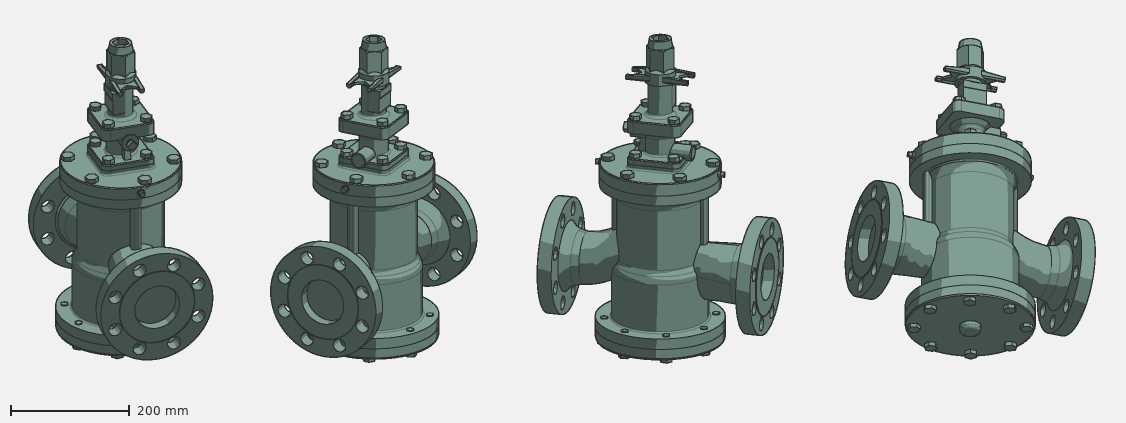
import cadquery as cq
import math

COVER_FOOT_Z = 14.5
BOTTOM_JOINT_Z = 34.0
BOTTOM_FLANGE_TOP_Z = 52.5
PORT_Z = 143.5
SHOULDER_LOW_Z = 139.5
SHOULDER_MID_Z = 153.0
SHOULDER_TOP_Z = 163.0
FLARE_Z = 270.0
TOP_FLANGE_FOOT_Z = 290.5
TOP_JOINT_Z = 308.0
COVER_TOP_Z = 330.0
PILOT_JOINT_Z = 338.5
PILOT_BASE_TOP_Z = 349.0
PILOT_NECK_TOP_Z = 380.0
PILOT_CONE_Z = 386.5
PILOT_FLANGE_FOOT_Z = 394.5
PILOT_FLANGE_TOP_Z = 417.0
FLAT_FOOT_Z = 430.0
FLAT_TOP_Z = 456.5
LIP_TOP_Z = 470.0
COLLAR_FOOT_Z = 477.0
COLLAR_TOP_Z = 497.5
HEX_TOP_Z = 540.0
TOP_Z = 554.0

BOTTOM_FLANGE_D = 220.0
TOP_FLANGE_D = 206.0
LOWER_BARREL_D = 165.0
UPPER_BARREL_D = 147.5
FLARE_D = 157.5
BARREL_FOOT_FILLET = 3.0
BARREL_HEAD_FILLET = 3.0
COVER_FOOT_CHAMFER_H = 3.0
COVER_FOOT_CHAMFER_W = 1.0
RIB_REACH = 83.5
RIB_WIDTH = 18.0
RIB_FILLET = 5.0

PORT_FACE_X = 189.0
RAISED_FACE_D = 134.0
RAISED_FACE_H = 1.5
PORT_FLANGE_D = 200.0
PORT_FLANGE_BACK_X = 162.5
PORT_HOLE_D = 23.0
PORT_HOLE_CIRCLE_D = 160.0
PORT_HOLE_COUNT = 8
BORE_D = 80.0
BORE_DEPTH = 19.5
HUB_D = 122.0
INLET_HUB_D = 114.0
INLET_HUB_X = 160.0
INLET_PIPE_D = 102.5
INLET_PIPE_X = 138.0
INLET_ROOT_X = 66.5
INLET_ROOT_WIDTH = 64.0
INLET_ROOT_HEIGHT = 101.0
OUTLET_PIPE_WIDTH = 85.5
OUTLET_PIPE_HEIGHT = 91.0
OUTLET_AXIS = [(131.0, PORT_Z), (106.0, 147.5), (84.0, 155.5), (44.5, 173.0)]
OUTLET_FLARE_X = 144.0
OUTLET_FLARE_D = 95.5
OUTLET_CURVE_X = 155.0
OUTLET_CURVE_D = 106.5

BOTTOM_BOLT_CIRCLE_D = 190.0
BOTTOM_BOLT_COUNT = 8
BOTTOM_BOLT_TURN = 22.5
BOTTOM_BOLT_D = 22.0
BOTTOM_BOLT_H = 7.0
STUD_D = 12.0
STUD_H = 1.5
COVER_BOLT_CIRCLE_D = 179.5
COVER_BOLT_COUNT = 6
COVER_BOLT_TURN = 8
COVER_BOLT_D = 22.5
COVER_BOLT_H = 8.0
PILOT_BOLT_CIRCLE_D = 95.5
PILOT_BOLT_COUNT = 4
PILOT_BOLT_TURN = 45
PILOT_HEAD_TURN = 45
PILOT_BOLT_D = 20.5
PILOT_BOLT_H = 8.0

PLUG_D = 36.0
PLUG_FILLET = 8.0
SIDE_SCREW_Z = 319.5
SIDE_SCREW_ROOT_X = 97.5
SIDE_SCREW_COLLAR_D = 12.0
SIDE_SCREW_COLLAR_X = 107.0
SIDE_SCREW_TIP_D = 9.0
SIDE_SCREW_TIP_X = 113.0
COVER_CHAMFER = 1.5

PAD_SIDE = 93.0
PAD_CORNER_R = 12.0
PAD_FOOT_FILLET = 3.0
PAD_EDGE = 1.5
SELECTION_MARGIN = 0.5
NECK_D = 49.5
NECK_FOOT_FILLET = 3.5
CONE_FOOT_D = 56.5
NECK_TOP_D = 68.5
SIDE_BOSS_D = 30.0
SIDE_BOSS_X = 49.5
STRAINER_Z = 353.0
STRAINER_D = 27.0
STRAINER_CAP_X = 58.0
STRAINER_CAP_CHAMFER = 1.5
OUTLET_BOSS_Z = 387.0
SQUARE_PLUG_NECK_D = 13.5
SQUARE_PLUG_NECK_X = 53.0
SQUARE_PLUG_SIDE = 13.5
SQUARE_PLUG_X = 63.0
GUSSET_WIDTH = 11.0
GUSSET_FOOT_X = 37.0
GUSSET_TOP_X = 31.0
STEM_D = 42.0
STEM_FOOT_FILLET = 6.0
FLAT_REACH = 21.0
LIP_REACH = 22.0

COLLAR_D = 52.0
COLLAR_CONE_TOP_Z = 503.0
COLLAR_CONE_TOP_D = 42.0
HANDLE_LENGTH = 108.5
HANDLE_WIDTH = 47.0
HANDLE_BAR_WIDTH = 6.5
HANDLE_FOOT_Z = 481.5
HANDLE_WEB_FOOT_Z = 484.0
HANDLE_WEB_TOP_Z = 488.5
HANDLE_BEVEL = 3.0
HANDLE_TIP_TOP_Z = 488.5
HANDLE_ROOT_TOP_Z = 494.0
HANDLE_TIP_LENGTH = 9.5
HANDLE_TIP_WIDTH = 9.0
NOTCH_TIP_X = 32.5
NOTCH_MOUTH_X = 44.0
NOTCH_MOUTH_WIDTH = 29.0
CAP_FLATS = 42.0
CAP_CORNER_CUT = 2.0
CAP_TOP_D = 37.0
SOCKET_CORNERS = 28.0
SOCKET_DEPTH = 10.0


def disc(diameter, z_from, z_to):
    """Upright cylinder on the main axis."""
    return cq.Workplane("XY").workplane(offset=z_from).circle(diameter / 2).extrude(z_to - z_from)


def side_rod(diameter, x_from, x_to, z):
    """Cylinder along X at height z."""
    return cq.Workplane("YZ", origin=(x_from, 0, z)).circle(diameter / 2).extrude(x_to - x_from)


def turned(profile):
    """Turn (radius, z) points about the main axis."""
    return cq.Workplane("XZ").polyline(profile).close().revolve(360, (0, 0, 0), (0, 1, 0))


def ring_points(circle_d, count, turn):
    """Evenly spaced points on a circle, the first at the angle turn (degrees)."""
    angles = [math.radians(turn + 360 * i / count) for i in range(count)]
    return [(circle_d / 2 * math.cos(a), circle_d / 2 * math.sin(a)) for a in angles]


def hex_heads(circle_d, count, turn, corners, z, height, head_turn=0):
    """Hexagon heads on a bolt circle, each turned with its place on the circle."""
    head = (
        cq.Workplane("XY", origin=(circle_d / 2, 0, z))
        .transformed(rotate=(0, 0, head_turn))
        .polygon(6, corners)
        .extrude(height)
    )
    heads = cq.Workplane("XY")
    for i in range(count):
        heads = heads.add(head.rotate((0, 0, 0), (0, 0, 1), turn + 360 * i / count))
    return heads.combine()


def make_bottom_cover():
    cover_r = BOTTOM_FLANGE_D / 2
    cover = turned([
        (0, COVER_FOOT_Z),
        (cover_r - COVER_FOOT_CHAMFER_W, COVER_FOOT_Z),
        (cover_r, COVER_FOOT_Z + COVER_FOOT_CHAMFER_H),
        (cover_r, BOTTOM_JOINT_Z),
        (0, BOTTOM_JOINT_Z),
    ])
    plug = disc(PLUG_D, 0, COVER_FOOT_Z).faces("<Z").edges().fillet(PLUG_FILLET)
    heads = hex_heads(
        BOTTOM_BOLT_CIRCLE_D, BOTTOM_BOLT_COUNT, BOTTOM_BOLT_TURN,
        BOTTOM_BOLT_D, COVER_FOOT_Z - BOTTOM_BOLT_H, BOTTOM_BOLT_H,
    )
    return cover.union(plug).union(heads)


def make_barrel():
    lower_r = LOWER_BARREL_D / 2
    upper_r = UPPER_BARREL_D / 2
    flange_r = TOP_FLANGE_D / 2
    foot_r = BOTTOM_FLANGE_D / 2
    mid_r = (lower_r + upper_r) / 2
    return (
        cq.Workplane("XZ")
        .moveTo(0, BOTTOM_JOINT_Z)
        .lineTo(foot_r, BOTTOM_JOINT_Z)
        .lineTo(foot_r, BOTTOM_FLANGE_TOP_Z)
        .lineTo(lower_r + BARREL_FOOT_FILLET, BOTTOM_FLANGE_TOP_Z)
        .radiusArc((lower_r, BOTTOM_FLANGE_TOP_Z + BARREL_FOOT_FILLET), BARREL_FOOT_FILLET)
        .lineTo(lower_r, SHOULDER_LOW_Z)
        .tangentArcPoint((mid_r, SHOULDER_MID_Z), relative=False)
        .tangentArcPoint((upper_r, SHOULDER_TOP_Z), relative=False)
        .lineTo(upper_r, FLARE_Z)
        .tangentArcPoint((FLARE_D / 2, TOP_FLANGE_FOOT_Z - BARREL_HEAD_FILLET), relative=False)
        .radiusArc((FLARE_D / 2 + BARREL_HEAD_FILLET, TOP_FLANGE_FOOT_Z), BARREL_HEAD_FILLET)
        .lineTo(flange_r, TOP_FLANGE_FOOT_Z)
        .lineTo(flange_r, TOP_JOINT_Z)
        .lineTo(0, TOP_JOINT_Z)
        .close()
        .revolve(360, (0, 0, 0), (0, 1, 0))
    )


def make_ribs():
    """One bar right across the barrel, showing as a rounded rib on each side."""
    height = TOP_FLANGE_FOOT_Z - PORT_Z
    bar = cq.Workplane("XY", origin=(0, 0, PORT_Z + height / 2)).box(2 * RIB_REACH, RIB_WIDTH, height)
    return bar.edges("|Z").fillet(RIB_FILLET)


def make_port_flange():
    """Drilled flange with a raised face, axis along X, face on the +X side."""
    rim_x = PORT_FACE_X - RAISED_FACE_H
    flange = side_rod(PORT_FLANGE_D, PORT_FLANGE_BACK_X, rim_x, PORT_Z)
    raised_face = side_rod(RAISED_FACE_D, rim_x, PORT_FACE_X, PORT_Z)
    hole_points = ring_points(PORT_HOLE_CIRCLE_D, PORT_HOLE_COUNT, 180 / PORT_HOLE_COUNT)
    holes = (
        cq.Workplane("YZ", origin=(PORT_FLANGE_BACK_X, 0, PORT_Z))
        .pushPoints(hole_points)
        .circle(PORT_HOLE_D / 2)
        .extrude(PORT_FACE_X - PORT_FLANGE_BACK_X)
    )
    bore = side_rod(BORE_D, PORT_FACE_X - BORE_DEPTH, PORT_FACE_X, PORT_Z)
    return flange.union(raised_face).cut(holes).cut(bore)


def make_inlet():
    """Tapering neck, then a pipe that narrows sideways into the barrel (-X side)."""
    neck = (
        cq.Workplane("XY")
        .moveTo(-PORT_FLANGE_BACK_X, 0)
        .lineTo(-PORT_FLANGE_BACK_X, HUB_D / 2)
        .lineTo(-INLET_HUB_X, INLET_HUB_D / 2)
        .lineTo(-INLET_PIPE_X, INLET_PIPE_D / 2)
        .lineTo(-INLET_PIPE_X, 0)
        .close()
        .revolve(360, (0, 0, 0), (1, 0, 0))
        .translate((0, 0, PORT_Z))
    )
    pipe = (
        cq.Workplane("YZ", origin=(-INLET_PIPE_X, 0, PORT_Z))
        .ellipse(INLET_PIPE_D / 2, INLET_PIPE_D / 2)
        .workplane(offset=INLET_PIPE_X - INLET_ROOT_X)
        .ellipse(INLET_ROOT_WIDTH / 2, INLET_ROOT_HEIGHT / 2)
        .loft(combine=True)
    )
    return neck.union(pipe)


def outlet_section(x, z, width, height):
    outline = cq.Workplane("YZ", origin=(x, 0, z)).ellipse(width / 2, height / 2)
    return outline.wires().val()


def make_outlet():
    """Oval pipe bending upward into the barrel from a flared neck (+X side)."""
    flare = (
        cq.Workplane("XY")
        .moveTo(OUTLET_FLARE_X, 0)
        .lineTo(OUTLET_FLARE_X, OUTLET_FLARE_D / 2)
        .threePointArc((OUTLET_CURVE_X, OUTLET_CURVE_D / 2), (PORT_FLANGE_BACK_X, HUB_D / 2))
        .lineTo(PORT_FLANGE_BACK_X, 0)
        .close()
        .revolve(360, (0, 0, 0), (1, 0, 0))
        .translate((0, 0, PORT_Z))
    )
    oval = [outlet_section(x, z, OUTLET_PIPE_WIDTH, OUTLET_PIPE_HEIGHT) for x, z in OUTLET_AXIS]
    neck_end = outlet_section(OUTLET_FLARE_X, PORT_Z, OUTLET_FLARE_D, OUTLET_FLARE_D)
    neck = cq.Solid.makeLoft([neck_end, oval[0]])
    pipe = cq.Solid.makeLoft(oval)
    return flare.union(cq.Workplane(neck)).union(cq.Workplane(pipe))


def make_body():
    studs = (
        cq.Workplane("XY")
        .workplane(offset=BOTTOM_FLANGE_TOP_Z)
        .pushPoints(ring_points(BOTTOM_BOLT_CIRCLE_D, BOTTOM_BOLT_COUNT, BOTTOM_BOLT_TURN))
        .circle(STUD_D / 2)
        .extrude(STUD_H)
    )
    outlet_flange = make_port_flange()
    inlet_flange = outlet_flange.mirror("YZ")
    body = make_barrel().union(make_ribs())
    body = body.union(make_inlet()).union(make_outlet())
    return body.union(outlet_flange).union(inlet_flange).union(studs)


def square_pad(z_from, z_to):
    height = z_to - z_from
    pad = cq.Workplane("XY").workplane(offset=z_from).rect(PAD_SIDE, PAD_SIDE).extrude(height)
    return pad.edges("|Z").fillet(PAD_CORNER_R)


def make_side_screw():
    collar = side_rod(SIDE_SCREW_COLLAR_D, SIDE_SCREW_ROOT_X, SIDE_SCREW_COLLAR_X, SIDE_SCREW_Z)
    tip = side_rod(SIDE_SCREW_TIP_D, SIDE_SCREW_ROOT_X, SIDE_SCREW_TIP_X, SIDE_SCREW_Z)
    return collar.union(tip)


def make_top_cover():
    lid = disc(TOP_FLANGE_D, TOP_JOINT_Z, COVER_TOP_Z).faces(">Z").edges().chamfer(COVER_CHAMFER)
    lid = lid.union(square_pad(COVER_TOP_Z, PILOT_JOINT_Z))
    reach = PAD_SIDE / 2 + PAD_FOOT_FILLET
    foot_edges = cq.selectors.BoxSelector(
        (-reach, -reach, COVER_TOP_Z - SELECTION_MARGIN),
        (reach, reach, COVER_TOP_Z + SELECTION_MARGIN),
        boundingbox=True,
    )
    lid = lid.edges(foot_edges).fillet(PAD_FOOT_FILLET)
    heads = hex_heads(
        COVER_BOLT_CIRCLE_D, COVER_BOLT_COUNT, COVER_BOLT_TURN,
        COVER_BOLT_D, COVER_TOP_Z, COVER_BOLT_H,
    )
    screw = make_side_screw()
    return lid.union(heads).union(screw).union(screw.mirror("YZ"))


def pilot_heads(z):
    return hex_heads(
        PILOT_BOLT_CIRCLE_D, PILOT_BOLT_COUNT, PILOT_BOLT_TURN,
        PILOT_BOLT_D, z, PILOT_BOLT_H, head_turn=PILOT_HEAD_TURN,
    )


def make_pilot_neck():
    neck_r = NECK_D / 2
    foot_r = neck_r + NECK_FOOT_FILLET
    return (
        cq.Workplane("XZ")
        .moveTo(0, PILOT_BASE_TOP_Z)
        .lineTo(foot_r, PILOT_BASE_TOP_Z)
        .radiusArc((neck_r, PILOT_BASE_TOP_Z + NECK_FOOT_FILLET), NECK_FOOT_FILLET)
        .lineTo(neck_r, PILOT_NECK_TOP_Z)
        .tangentArcPoint((CONE_FOOT_D / 2, PILOT_CONE_Z), relative=False)
        .lineTo(NECK_TOP_D / 2, PILOT_FLANGE_FOOT_Z)
        .lineTo(0, PILOT_FLANGE_FOOT_Z)
        .close()
        .revolve(360, (0, 0, 0), (0, 1, 0))
    )


def make_strainer_boss():
    """Capped boss on the -X side."""
    boss = side_rod(STRAINER_D, -SIDE_BOSS_X, 0, STRAINER_Z)
    cap = side_rod(STRAINER_D, -STRAINER_CAP_X, -SIDE_BOSS_X, STRAINER_Z)
    return boss.union(cap.faces("<X").edges().chamfer(STRAINER_CAP_CHAMFER))


def make_plugged_boss():
    """Boss with a square-headed plug on the +X side, carried by a gusset."""
    boss = side_rod(SIDE_BOSS_D, 0, SIDE_BOSS_X, OUTLET_BOSS_Z)
    plug_neck = side_rod(SQUARE_PLUG_NECK_D, SIDE_BOSS_X, SQUARE_PLUG_NECK_X, OUTLET_BOSS_Z)
    head = (
        cq.Workplane("YZ", origin=(SQUARE_PLUG_NECK_X, 0, OUTLET_BOSS_Z))
        .rect(SQUARE_PLUG_SIDE, SQUARE_PLUG_SIDE)
        .extrude(SQUARE_PLUG_X - SQUARE_PLUG_NECK_X)
        .rotate((0, 0, OUTLET_BOSS_Z), (1, 0, OUTLET_BOSS_Z), 45)
    )
    gusset = (
        cq.Workplane("XZ")
        .moveTo(0, PILOT_BASE_TOP_Z)
        .lineTo(GUSSET_FOOT_X, PILOT_BASE_TOP_Z)
        .lineTo(GUSSET_TOP_X, OUTLET_BOSS_Z)
        .lineTo(0, OUTLET_BOSS_Z)
        .close()
        .extrude(GUSSET_WIDTH / 2, both=True)
    )
    return boss.union(plug_neck).union(head).union(gusset)


def front_block(reach, z_from, z_to):
    """Block as wide as the stem, from its axis out to the -Y side."""
    return (
        cq.Workplane("XY", origin=(0, -reach / 2, z_from))
        .rect(STEM_D, reach)
        .extrude(z_to - z_from)
    )


def make_stem():
    """Column with a flat-fronted block on its -Y side."""
    stem_r = STEM_D / 2
    foot_r = stem_r + STEM_FOOT_FILLET
    column = (
        cq.Workplane("XZ")
        .moveTo(0, PILOT_FLANGE_TOP_Z)
        .lineTo(foot_r, PILOT_FLANGE_TOP_Z)
        .radiusArc((stem_r, PILOT_FLANGE_TOP_Z + STEM_FOOT_FILLET), STEM_FOOT_FILLET)
        .lineTo(stem_r, COLLAR_FOOT_Z)
        .lineTo(0, COLLAR_FOOT_Z)
        .close()
        .revolve(360, (0, 0, 0), (0, 1, 0))
    )
    block = front_block(FLAT_REACH, FLAT_FOOT_Z, FLAT_TOP_Z)
    lip = front_block(LIP_REACH, FLAT_TOP_Z, LIP_TOP_Z)
    return column.union(block).union(lip)


def make_handle():
    """Web with a V notch at each end, edged by two bars that rise toward the collar."""
    half = HANDLE_LENGTH / 2
    bar_y = HANDLE_WIDTH / 2 - HANDLE_BAR_WIDTH / 2
    web_height = HANDLE_WEB_TOP_Z - HANDLE_WEB_FOOT_Z
    web_from = cq.Workplane("XY").workplane(offset=HANDLE_WEB_FOOT_Z)
    handle = web_from.rect(2 * NOTCH_MOUTH_X, 2 * bar_y).extrude(web_height)
    for side in (-1, 1):
        notch = (
            cq.Workplane("XY")
            .workplane(offset=HANDLE_WEB_FOOT_Z)
            .polyline([
                (side * NOTCH_TIP_X, 0),
                (side * NOTCH_MOUTH_X, NOTCH_MOUTH_WIDTH / 2),
                (side * NOTCH_MOUTH_X, -NOTCH_MOUTH_WIDTH / 2),
            ])
            .close()
            .extrude(web_height)
        )
        handle = handle.cut(notch)
    for side in (-1, 1):
        bar = (
            cq.Workplane("XZ", origin=(0, side * bar_y, 0))
            .polyline([
                (-half, HANDLE_FOOT_Z),
                (half, HANDLE_FOOT_Z),
                (half, HANDLE_TIP_TOP_Z),
                (0, HANDLE_ROOT_TOP_Z),
                (-half, HANDLE_TIP_TOP_Z),
            ])
            .close()
            .extrude(HANDLE_BAR_WIDTH / 2, both=True)
        )
        handle = handle.union(bar.faces("<Z").edges("|X").chamfer(HANDLE_BEVEL))
        for end in (-1, 1):
            tip_x = end * (half - HANDLE_TIP_LENGTH / 2)
            tip_y = side * (HANDLE_WIDTH - HANDLE_TIP_WIDTH) / 2
            tip = (
                cq.Workplane("XY", origin=(tip_x, tip_y, HANDLE_FOOT_Z))
                .rect(HANDLE_TIP_LENGTH, HANDLE_TIP_WIDTH)
                .extrude(HANDLE_TIP_TOP_Z - HANDLE_FOOT_Z)
            )
            handle = handle.union(tip.faces("<Z").edges("|X").chamfer(HANDLE_BEVEL))
    collar = turned([
        (0, COLLAR_FOOT_Z),
        (COLLAR_D / 2, COLLAR_FOOT_Z),
        (COLLAR_D / 2, COLLAR_TOP_Z),
        (COLLAR_CONE_TOP_D / 2, COLLAR_CONE_TOP_Z),
        (0, COLLAR_CONE_TOP_Z),
    ])
    return handle.union(collar)


def make_cap():
    """Hexagonal cap, its corners turned down at the upper end, with a socketed conical top."""
    corners = CAP_FLATS / math.cos(math.pi / 6)
    prism = (
        cq.Workplane("XY")
        .workplane(offset=COLLAR_TOP_Z)
        .polygon(6, corners)
        .extrude(HEX_TOP_Z - COLLAR_TOP_Z)
    )
    corner_r = corners / 2
    flat_r = CAP_FLATS / 2
    turned_blank = turned([
        (0, COLLAR_TOP_Z),
        (corner_r, COLLAR_TOP_Z),
        (corner_r, HEX_TOP_Z - CAP_CORNER_CUT),
        (flat_r, HEX_TOP_Z),
        (0, HEX_TOP_Z),
    ])
    crown = turned([(0, HEX_TOP_Z), (flat_r, HEX_TOP_Z), (CAP_TOP_D / 2, TOP_Z), (0, TOP_Z)])
    socket = (
        cq.Workplane("XY")
        .workplane(offset=TOP_Z - SOCKET_DEPTH)
        .polygon(6, SOCKET_CORNERS)
        .extrude(SOCKET_DEPTH)
    )
    return prism.intersect(turned_blank).union(crown).cut(socket)


def make_pilot_valve():
    base = square_pad(PILOT_JOINT_Z, PILOT_BASE_TOP_Z).faces(">Z").edges().chamfer(PAD_EDGE)
    flange = square_pad(PILOT_FLANGE_FOOT_Z, PILOT_FLANGE_TOP_Z).faces(">Z").edges().chamfer(PAD_EDGE)
    valve = base.union(make_pilot_neck()).union(flange)
    valve = valve.union(make_strainer_boss()).union(make_plugged_boss())
    valve = valve.union(pilot_heads(PILOT_BASE_TOP_Z)).union(pilot_heads(PILOT_FLANGE_TOP_Z))
    return valve.union(make_stem()).union(make_handle()).union(make_cap())


bottom_cover = make_bottom_cover()
body = make_body()
top_cover = make_top_cover()
pilot_valve = make_pilot_valve()

result = cq.Compound.makeCompound(
    [bottom_cover.val(), body.val(), top_cover.val(), pilot_valve.val()]
)